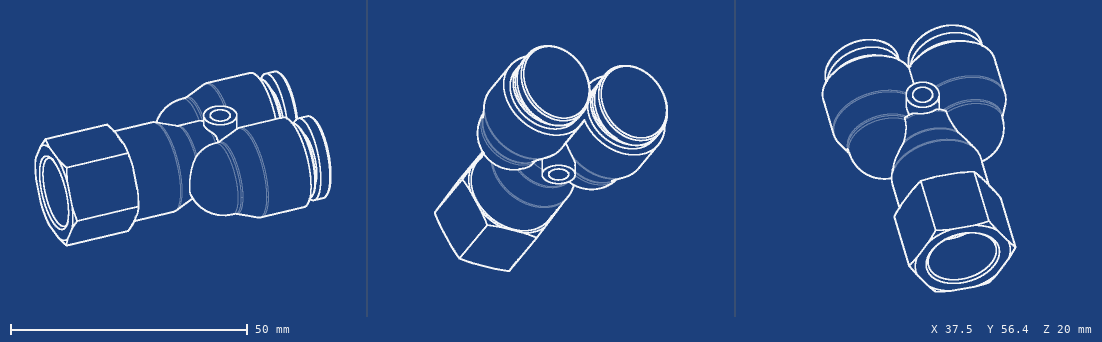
import cadquery as cq
import math


total_length = 56.4
port_offset = 9.0

nut_flats = 20.0
nut_length = 15.0
nut_chamfer_dia = 20.6
nut_chamfer_length = 0.47
thread_bore_dia = 14.8
thread_bore_depth = 12.0
bore_chamfer = 0.55
flow_bore_dia = 8.0

barrel_dia = 19.5
neck_dia = 15.5
barrel_length = 10.0
cone_length = 5.0
port_neck_length = 0.9
stem_nose_radius = 1.0
blend_radius = 1.0
body_end = 50.95

eyelet_dia = 7.0
eyelet_hole_dia = 4.2
eyelet_y = 38.0

collar_dia = 16.5
collar_length = 1.8
collar_chamfer = 0.3
sleeve_neck_dia = 11.7
flange_width = 16.0
flange_height = 18.5
flange_thickness = 2.5
flange_chamfer = 0.4

nose_y = body_end - barrel_length - cone_length - port_neck_length
collar_end = body_end + collar_length
flange_start = total_length - flange_thickness

edge_search_margin = 0.1


def section_at(y):
    """Sketch plane across the Y axis at y, with its normal to +Y and its local x along X."""
    return cq.Workplane(cq.Plane(origin=(0, y, 0), xDir=(1, 0, 0), normal=(0, 1, 0)))


def disc(dia, start, end):
    return section_at(start).circle(dia / 2).extrude(end - start)


def build_nut():
    hexagon_corner_dia = nut_flats / math.cos(math.pi / 6)
    blank = section_at(0).polygon(6, hexagon_corner_dia).extrude(nut_length)

    end_radius = nut_chamfer_dia / 2
    corner_radius = hexagon_corner_dia / 2
    envelope = (
        cq.Workplane("XY")
        .moveTo(0, 0)
        .lineTo(end_radius, 0)
        .lineTo(corner_radius, nut_chamfer_length)
        .lineTo(corner_radius, nut_length - nut_chamfer_length)
        .lineTo(end_radius, nut_length)
        .lineTo(0, nut_length)
        .close()
        .revolve(360, (0, 0, 0), (0, 1, 0))
    )

    bore_radius = thread_bore_dia / 2
    flow_radius = flow_bore_dia / 2
    bore = (
        cq.Workplane("XY")
        .moveTo(0, 0)
        .lineTo(bore_radius + bore_chamfer, 0)
        .lineTo(bore_radius, bore_chamfer)
        .lineTo(bore_radius, thread_bore_depth)
        .lineTo(flow_radius, thread_bore_depth)
        .lineTo(flow_radius, nut_length)
        .lineTo(0, nut_length)
        .close()
        .revolve(360, (0, 0, 0), (0, 1, 0))
    )
    return blank.intersect(envelope).cut(bore)


def build_branch(axis_x, face_y, direction, nose_radius):
    """Round plug from its flat face at face_y, running along Y in the given direction (+1 or -1).

    The nose is a full dome when nose_radius equals the neck radius, otherwise a flat with a rounded rim.
    """
    barrel_radius = barrel_dia / 2
    neck_radius = neck_dia / 2
    cone_start = face_y + direction * barrel_length
    cone_end = cone_start + direction * cone_length
    nose_end = nose_y + direction * nose_radius
    nose_flat_radius = neck_radius - nose_radius
    arc_diagonal = nose_radius * math.sqrt(0.5)
    outline = (
        cq.Workplane("XY", origin=(axis_x, 0, 0))
        .moveTo(0, face_y)
        .lineTo(barrel_radius, face_y)
        .lineTo(barrel_radius, cone_start)
        .lineTo(neck_radius, cone_end)
        .lineTo(neck_radius, nose_y)
        .threePointArc(
            (nose_flat_radius + arc_diagonal, nose_y + direction * arc_diagonal),
            (nose_flat_radius, nose_end),
        )
    )
    if nose_flat_radius > 0:
        outline = outline.lineTo(0, nose_end)
    branch = outline.close().revolve(360, (0, 0, 0), (0, 1, 0))

    for radius, y in ((barrel_radius, cone_start), (neck_radius, cone_end)):
        reach = radius + edge_search_margin
        low = (axis_x - reach, y - edge_search_margin, -reach)
        high = (axis_x + reach, y + edge_search_margin, reach)
        cone_rim = cq.selectors.BoxSelector(low, high, boundingbox=True)
        branch = branch.edges(cone_rim).fillet(blend_radius)
    return branch


def build_body():
    body = build_branch(0, nut_length, 1, stem_nose_radius)
    for side in (-1, 1):
        body = body.union(build_branch(side * port_offset, body_end, -1, neck_dia / 2))
    eyelet_base = cq.Workplane("XY", origin=(0, eyelet_y, -barrel_dia / 2))
    eyelet = eyelet_base.circle(eyelet_dia / 2).extrude(barrel_dia)
    eyelet_hole = eyelet_base.circle(eyelet_hole_dia / 2).extrude(barrel_dia)
    return body.union(eyelet).cut(eyelet_hole)


def build_collar(axis_x):
    collar = disc(collar_dia, body_end, collar_end).faces(">Y").chamfer(collar_chamfer)
    return collar.translate((axis_x, 0, 0))


def build_sleeve(axis_x):
    flange = (
        section_at(flange_start)
        .ellipse(flange_width / 2, flange_height / 2)
        .extrude(flange_thickness)
        .faces(">Y")
        .chamfer(flange_chamfer)
    )
    sleeve = disc(sleeve_neck_dia, collar_end, flange_start).union(flange)
    return sleeve.translate((axis_x, 0, 0))


nut = build_nut()
body = build_body()
port_axes = (-port_offset, port_offset)
collars = [build_collar(x) for x in port_axes]
sleeves = [build_sleeve(x) for x in port_axes]

result = cq.Compound.makeCompound(
    [nut.val(), body.val()] + [part.val() for part in collars + sleeves]
)